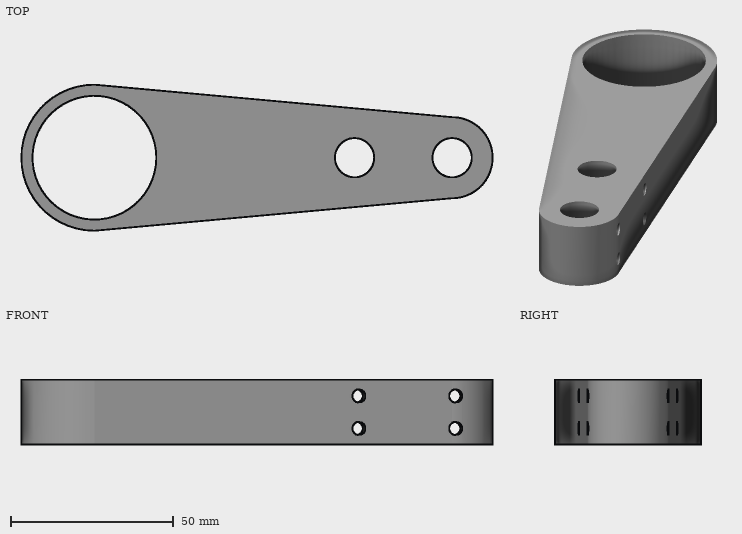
import cadquery as cq
import math

thickness = 20.0
ring_radius = 22.5
ring_bore_diameter = 38.0
tip_radius = 12.5
tip_distance = 110.0

pin_diameter = 12.0
pin_spacing = 30.0
pin_positions = (tip_distance - pin_spacing, tip_distance)

screw_diameter = 4.0
screw_spacing = 10.0
screw_heights = ((thickness - screw_spacing) / 2, (thickness + screw_spacing) / 2)

flank_angle = math.atan((ring_radius - tip_radius) / tip_distance)
flank_normal_x = math.sin(flank_angle)
flank_normal_y = math.cos(flank_angle)


def make_arm():
    """Outline of two half circles joined by straight tapering flanks, extruded upward."""
    return (
        cq.Workplane("XY")
        .moveTo(0, ring_radius)
        .threePointArc((-ring_radius, 0), (0, -ring_radius))
        .lineTo(tip_distance, -tip_radius)
        .threePointArc((tip_distance + tip_radius, 0), (tip_distance, tip_radius))
        .close()
        .extrude(thickness)
    )


def make_vertical_hole(x, diameter):
    """Cutter along Z through the full thickness at x on the centre line."""
    return cq.Workplane("XY").center(x, 0).circle(diameter / 2).extrude(thickness)


def make_screw_hole(x, z, side):
    """Cutter from a pin axis out through one flank, square to that flank."""
    direction = cq.Vector(flank_normal_x, side * flank_normal_y, 0)
    return cq.Solid.makeCylinder(screw_diameter / 2, ring_radius, cq.Vector(x, 0, z), direction)


result = make_arm()
result = result.cut(make_vertical_hole(0, ring_bore_diameter))
for pin_x in pin_positions:
    result = result.cut(make_vertical_hole(pin_x, pin_diameter))
    for screw_z in screw_heights:
        for flank_side in (-1, 1):
            result = result.cut(make_screw_hole(pin_x, screw_z, flank_side))